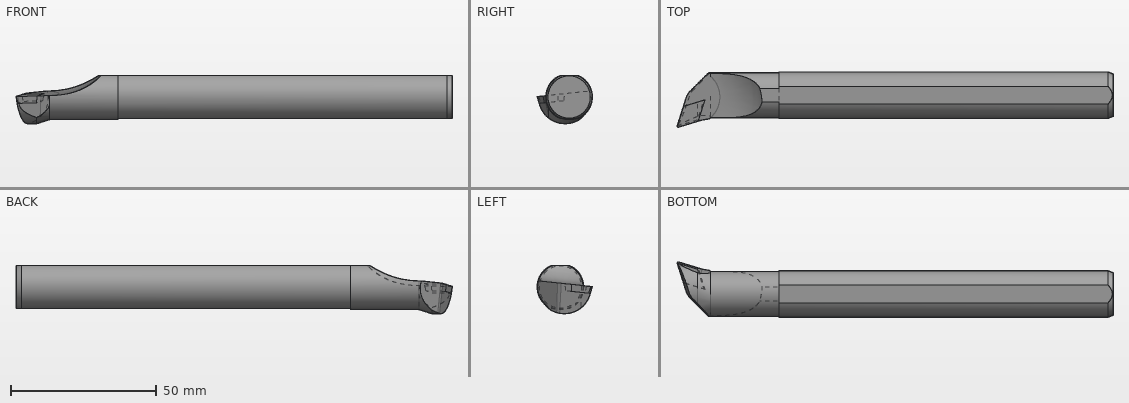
import cadquery as cq
import math

overall_length = 150.0
overall_width = 19.0
shank_diameter = 16.0
across_flats = 14.9
flat_height = across_flats / 2
neck_diameter = 15.6
shank_start = 35.0
end_chamfer_length = 1.8
end_chamfer_depth = 0.8

head_diameter = 18.5
head_offset_y = -1.4
blend_start = 7.0
neck_start = 11.5

rake_angle = 6.0
relief_angle = 7.0
tip_y = shank_diameter / 2 - overall_width
tip_z = 0.2
nose_radius = 0.5
side_edge_angle = 17.0
front_edge_angle = 72.5
insert_edge = 7.8
insert_thickness = 2.4
front_wall_length = 11.5
side_wall_length = 9.2
corner_facet_length = 1.5
bevel_angle = 45.0
back_bevel_length = 16.5
side_wall_end_y = -8.1
head_depth = 13.5

gullet_center = (5.1, -0.6)
gullet_flat_radius = 9.6
gullet_curve_radius = 19.8

rake_plane = cq.Plane(
    origin=(0, 0, tip_z + math.tan(math.radians(rake_angle)) * -tip_y),
    xDir=(1, 0, 0),
    normal=(0, -math.sin(math.radians(rake_angle)), math.cos(math.radians(rake_angle))),
)
plane_y = 1 / math.cos(math.radians(rake_angle))


def step(start, length, angle):
    """Point at a given length and direction from a starting point."""
    direction = math.radians(angle)
    return (start[0] + length * math.cos(direction), start[1] + length * math.sin(direction))


nose_center = (nose_radius, tip_y * plane_y + nose_radius)
half_angle = (front_edge_angle - side_edge_angle) / 2
bisector = side_edge_angle + half_angle
sharp_corner = step(nose_center, -nose_radius / math.sin(math.radians(half_angle)), bisector)
side_corner = step(sharp_corner, insert_edge, side_edge_angle)
front_corner = step(sharp_corner, insert_edge, front_edge_angle)
inner_corner = step(side_corner, insert_edge, front_edge_angle)


def relieved_prism(points, depth):
    """Prism below the rake plane whose walls lean inward by the relief angle."""
    return cq.Workplane(rake_plane).polyline(points).close().extrude(-depth, taper=relief_angle)


def make_insert():
    blank = relieved_prism([sharp_corner, side_corner, inner_corner, front_corner], insert_thickness)
    return blank.edges(cq.selectors.NearestToPointSelector((0, tip_y, 0))).fillet(nose_radius)


def make_head():
    tip_cylinder = (
        cq.Workplane("YZ").center(head_offset_y, 0).circle(head_diameter / 2).extrude(blend_start)
    )
    blend = (
        cq.Workplane("YZ", origin=(blend_start, 0, 0))
        .center(head_offset_y, 0)
        .circle(head_diameter / 2)
        .workplane(offset=neck_start - blend_start)
        .center(-head_offset_y, 0)
        .circle(neck_diameter / 2)
        .loft(combine=True)
    )
    facet_start = step(sharp_corner, front_wall_length, front_edge_angle)
    bevel_start = step(facet_start, corner_facet_length, (front_edge_angle + bevel_angle) / 2)
    bevel_end = step(bevel_start, back_bevel_length, bevel_angle)
    wall_corner = step(sharp_corner, side_wall_length, side_edge_angle)
    wall_end = (neck_start, side_wall_end_y)
    run_out = (bevel_end[0], side_wall_end_y)
    outline = [sharp_corner, wall_corner, wall_end, run_out, bevel_end, bevel_start, facet_start]
    return tip_cylinder.union(blend).intersect(relieved_prism(outline, head_depth))


def make_shank():
    shank = (
        cq.Workplane("XY")
        .moveTo(shank_start, 0)
        .lineTo(shank_start, shank_diameter / 2)
        .lineTo(overall_length - end_chamfer_length, shank_diameter / 2)
        .lineTo(overall_length, shank_diameter / 2 - end_chamfer_depth)
        .lineTo(overall_length, 0)
        .close()
        .revolve(360, (0, 0, 0), (1, 0, 0))
    )
    between_flats = cq.Workplane("XY").box(2 * overall_length, shank_diameter, 2 * flat_height)
    return shank.intersect(between_flats)


def make_neck():
    neck = (
        cq.Workplane("YZ", origin=(neck_start, 0, 0))
        .circle(neck_diameter / 2)
        .extrude(shank_start - neck_start)
    )
    above_flat = (
        cq.Workplane("XY", origin=(0, 0, flat_height))
        .rect(2 * overall_length, shank_diameter)
        .extrude(shank_diameter)
    )
    return neck.cut(above_flat)


def make_gullet():
    """Cutter with a flat bottom in the rake plane and a concave flared side."""
    arc_end = gullet_flat_radius + gullet_curve_radius
    arc_middle = math.radians(90 / 2)
    profile_plane = cq.Plane(
        origin=rake_plane.toWorldCoords((*gullet_center, 0)),
        xDir=(1, 0, 0),
        normal=rake_plane.yDir * -1,
    )
    return (
        cq.Workplane(profile_plane)
        .lineTo(gullet_flat_radius, 0)
        .threePointArc(
            (
                gullet_flat_radius + gullet_curve_radius * math.sin(arc_middle),
                gullet_curve_radius * (1 - math.cos(arc_middle)),
            ),
            (arc_end, gullet_curve_radius),
        )
        .lineTo(0, gullet_curve_radius)
        .close()
        .revolve(360, (0, 0, 0), (0, 1, 0))
    )


insert = make_insert()
bar = make_shank().union(make_neck()).union(make_head()).cut(make_gullet()).cut(insert)

result = cq.Compound.makeCompound([bar.val(), insert.val()])